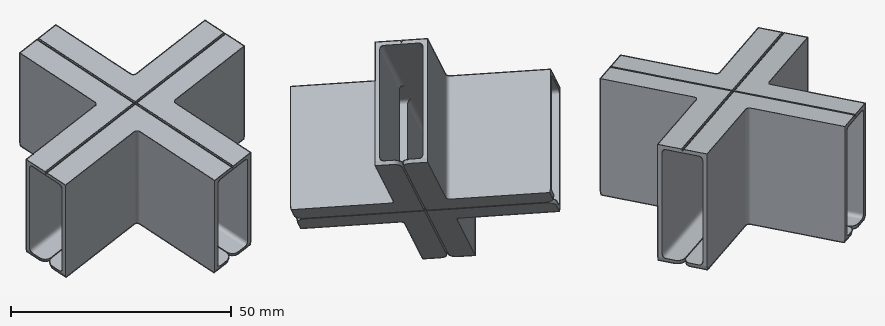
import cadquery as cq

span = 60.0
height = 30.0
arm_width = 12.1
inner_corner_radius = 0.9

side_wall = 1.1
floor_thickness = 0.95
cavity_radius = 1.0

groove_width = 0.4
groove_depth = 0.5

slit_bottom_width = 0.4
slit_top_width = 0.1
mouth_radius = 2.0

end_setback = 0.2

cavity_width = arm_width - 2 * side_wall
cavity_height = height - 2 * floor_thickness
end = span / 2


def along_both_axes(body):
    """Join a body running along Y with its copy running along X."""
    return body.union(body.rotate((0, 0, 0), (0, 0, 1), 90))


def at_four_ends(body):
    """Repeat a body placed at the -Y end on all four arm ends."""
    copies = body
    for quarter in range(1, 4):
        copies = copies.union(body.rotate((0, 0, 0), (0, 0, 1), 90 * quarter))
    return copies


def make_cross():
    arm = cq.Workplane("XY").box(arm_width, span, height, centered=(True, True, False))
    cross = along_both_axes(arm)
    inner_corners = cq.selectors.BoxSelector(
        (-arm_width, -arm_width, 0), (arm_width, arm_width, height)
    )
    return cross.edges("|Z").edges(inner_corners).fillet(inner_corner_radius)


def make_passages():
    passage = (
        cq.Workplane("XY")
        .workplane(offset=floor_thickness)
        .box(cavity_width, span, cavity_height, centered=(True, True, False))
        .edges("|Y")
        .fillet(cavity_radius)
    )
    return along_both_axes(passage)


def make_grooves():
    groove = (
        cq.Workplane("XZ")
        .polyline([
            (-groove_width / 2, height),
            (0, height - groove_depth),
            (groove_width / 2, height),
        ])
        .close()
        .extrude(end, both=True)
    )
    return along_both_axes(groove)


def make_slits():
    slit = (
        cq.Workplane("XZ")
        .polyline([
            (-slit_bottom_width / 2, 0),
            (slit_bottom_width / 2, 0),
            (slit_top_width / 2, floor_thickness),
            (-slit_top_width / 2, floor_thickness),
        ])
        .close()
        .extrude(end, both=True)
    )
    return along_both_axes(slit)


def make_end_bevels():
    bevel = (
        cq.Workplane("YZ")
        .polyline([(-end, 0), (-end + end_setback, 0), (-end, floor_thickness)])
        .close()
        .extrude(arm_width / 2, both=True)
    )
    return at_four_ends(bevel)


def round_slit_mouths(body):
    """Round the floor edges where each slit meets the bevelled arm ends."""
    corner_edges = cq.selectors.BoxSelector(
        (-slit_bottom_width, -end - end_setback, 0),
        (slit_bottom_width, -end + end_setback, floor_thickness),
    )
    for _ in range(4):
        body = body.edges("not #Z").edges(corner_edges).fillet(mouth_radius)
        body = body.rotate((0, 0, 0), (0, 0, 1), 90)
    return body


hollow_cross = (
    make_cross()
    .cut(make_passages())
    .cut(make_grooves())
    .cut(make_end_bevels())
    .cut(make_slits())
)
result = round_slit_mouths(hollow_cross)